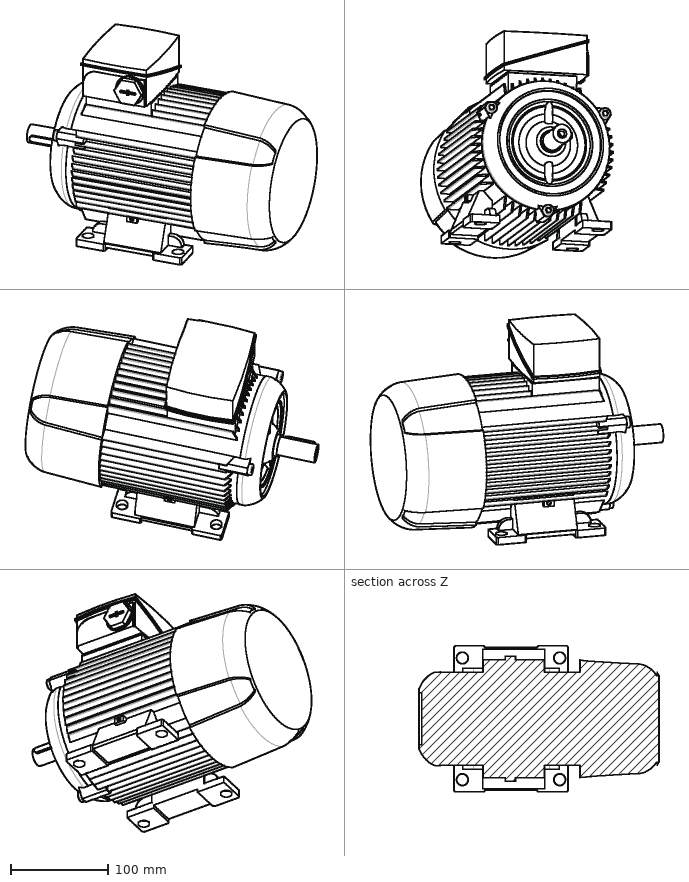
import cadquery as cq
import math


shaft_radius = 9.5
shaft_collar_radius = 11.5
shaft_length = 39.5
key_width = 6.0
key_start = 3.8
key_end = 36.0
key_reach = 12.0
centre_hole_radius = 3.0
centre_hole_depth = 14.5
centre_hole_chamfer = 1.8

hub_front = 43.0
hub_front_radius = 15.5
hub_base_radius = 23.7
bell_front = 45.3
bell_front_radius = 56.5
bell_lip_radius = 54.0
bell_recess = 48.2
bell_rim = 62.0
bell_step = 49.0
bell_step_radius = 45.5
outer_dish_radius = 43.2
dish_ledge = 50.8
dish_ledge_radius = 39.7
inner_dish_radius = 38.3
bell_floor = 54.3
bell_floor_radius = 31.2
bell_rib_radius = 4.0

housing_radius = 67.2
housing_start = 67.2
rim_step = 0.3
fin_tip_radius = 75.5
edge_fin_tip_radius = 76.8
fin_pitch = 8.03
fin_count_each_side = 5
fin_thickness = 1.8
fin_tip_round = 0.5
fin_start = 73.3
fin_slant = 5.0
fin_root_overlap = 3.0

cowl_start = 210.5
cowl_shoulder = 271.9
motor_end = 292.0
cowl_front_radius = 79.28
cowl_shoulder_radius = 76.2
cowl_end_radius = 64.5
cowl_arc_bulge = 1.8
cowl_recess_depth = 2.5
cowl_recess_end = 290.0
cowl_recess_edge = 41.8

lug_side = 21.0
lug_circle_radius = 69.8
lug_start = 56.5
lug_end = 86.0
lug_angles = (30, 150, 270)
lug_inner_radius = lug_side / (2 * math.sqrt(3))
screw_head_radius = 5.8
screw_head_height = 4.5
screw_head_round = 1.5
screw_socket_size = 5.8
screw_socket_depth = 2.3

box_min_x = 78.0
box_max_x = 148.5
box_min_y = -48.0
box_max_y = 40.5
box_bottom = 79.7
box_top = 121.0
box_bulge = 1.9
seam_reach = 1.5
seam_thickness = 2.0
seam_low_z = 84.7
seam_high_z = 113.5
pedestal_min_x = 76.8
pedestal_max_x = 149.0
pedestal_half_width = 36.2
pedestal_top = 77.5
pedestal_bottom = 43.8
neck_inset = 1.2
panel_reach = 50.0
panel_min_x = 79.5
panel_max_x = 147.2
panel_top = 109.8
panel_corner_radius = 14.5

plug_x = 131.7
plug_z = 96.5
plug_flange_radius = 15.5
plug_flange_face = 51.7
plug_hex_flats = 26.3
plug_face = 57.5
plug_slot_length = 17.0
plug_slot_width = 2.0
plug_cross_length = 5.3
plug_slot_depth = 1.2

axis_height = 80.0
pad_thickness = 8.0
pad_inner_y = 44.0
pad_outer_y = 75.0
pad_length = 32.0
pad_corner_cut = 1.5
foot_min_x = 81.2
foot_max_x = 198.5
foot_bar_outer_y = 73.3
foot_bar_lift = 3.5
web_min_x = 111.0
web_max_x = 174.3
web_foot_y = 71.5
web_top_y = 56.6
web_top_z = -37.7
foot_hole_radius = 5.8
foot_hole_y = 62.5
foot_hole_end_margin = 8.8
front_gusset_length = 20.5
rear_gusset_length = 15.2
gusset_height = 10.8
gusset_round = 10.5
gusset_min_y = 45.5
gusset_max_y = 52.0

earth_min_x = 133.7
earth_max_x = 144.5
earth_reach = 64.2
earth_root = 52.5
earth_top = -40.0
earth_bottom = -47.0
earth_hole_radius = 2.0
earth_hole_depth = 1.8


def box_between(x0, x1, y0, y1, z0, z1):
    """Axis-aligned block given by its limits."""
    return cq.Workplane("XY").box(x1 - x0, y1 - y0, z1 - z0, centered=False).translate((x0, y0, z0))


def cylinder_x(radius, x0, x1):
    """Cylinder on the motor axis."""
    return cq.Workplane("YZ").workplane(offset=x0).circle(radius).extrude(x1 - x0)


def facing_minus_y(x, y, z):
    """Work plane parallel to XZ that extrudes toward -Y."""
    return cq.Workplane("XZ", origin=(x, y, z))


def revolve_on_axis(profile):
    """Revolve a closed (X, radius) profile around the motor axis."""
    return profile.close().revolve(360, (0, 0, 0), (1, 0, 0))


def make_shaft():
    shaft = cylinder_x(shaft_radius, 0, bell_floor)
    shaft = shaft.union(cylinder_x(shaft_collar_radius, shaft_length, bell_floor))
    hole = (
        cq.Workplane("XY")
        .lineTo(0, centre_hole_radius + centre_hole_chamfer)
        .lineTo(centre_hole_chamfer, centre_hole_radius)
        .lineTo(centre_hole_depth, centre_hole_radius)
        .lineTo(centre_hole_depth, 0)
    )
    shaft = shaft.cut(revolve_on_axis(hole))
    key = (
        facing_minus_y((key_start + key_end) / 2, 0, 0)
        .workplane(offset=shaft_radius / 2)
        .slot2D(key_end - key_start, key_width)
        .extrude(key_reach - shaft_radius / 2)
    )
    return shaft.union(key)


def make_bell():
    """Drive-end bell: rounded shoulder, stepped and dished recess, central hub and two ribs."""
    shoulder_mid = ((bell_front + bell_rim) / 2 - 1.2, (bell_front_radius + housing_radius) / 2 + 1.5)
    profile = (
        cq.Workplane("XY")
        .moveTo(hub_front, 0)
        .lineTo(hub_front, hub_front_radius)
        .lineTo(bell_floor, hub_base_radius)
        .lineTo(bell_floor, bell_floor_radius)
        .lineTo(dish_ledge, inner_dish_radius)
        .lineTo(dish_ledge, dish_ledge_radius)
        .lineTo(bell_step, outer_dish_radius)
        .lineTo(bell_step, bell_step_radius)
        .lineTo(bell_recess, bell_step_radius)
        .lineTo(bell_recess, bell_lip_radius)
        .lineTo(bell_front, bell_lip_radius)
        .lineTo(bell_front, bell_front_radius)
        .threePointArc(shoulder_mid, (bell_rim, housing_radius + rim_step))
        .lineTo(housing_start, housing_radius + rim_step)
        .lineTo(housing_start, 0)
    )
    bell = revolve_on_axis(profile)
    ribs = (
        cq.Workplane("XY", origin=(bell_step + bell_rib_radius, 0, 0))
        .circle(bell_rib_radius)
        .extrude(bell_step_radius, both=True)
    )
    return bell.union(ribs)


def make_fin(step):
    """Upright fin, step pitches from the centre fin, with a slanted front and a rounded tip."""
    offset = step * fin_pitch
    tip_radius = edge_fin_tip_radius if abs(step) == fin_count_each_side else fin_tip_radius
    root = math.sqrt(housing_radius**2 - offset**2)
    tip = math.sqrt(tip_radius**2 - offset**2)
    outline = [
        (fin_start, root - fin_root_overlap),
        (fin_start, root),
        (fin_start + fin_slant, tip),
        (cowl_start, tip),
        (cowl_start, root - fin_root_overlap),
    ]
    fin = cq.Workplane("XZ").polyline(outline).close().extrude(fin_thickness / 2, both=True)
    fin = fin.faces(">Z").edges("|X").fillet(fin_tip_round)
    return fin.translate((0, offset, 0))


def make_housing():
    """Round housing with a group of parallel fins on each of its four sides."""
    housing = cylinder_x(housing_radius, housing_start, cowl_start)
    for step in range(-fin_count_each_side, fin_count_each_side + 1):
        fin = make_fin(step)
        for quadrant in range(4):
            housing = housing.union(fin.rotate((0, 0, 0), (1, 0, 0), 90 * quadrant))
    return housing


def cowl_body(inset, end_x):
    """Fan cowl solid, its skin moved inward by inset and its rear face at end_x."""
    end_radius = cowl_end_radius - inset
    shoulder_radius = cowl_shoulder_radius - inset
    arc_mid = (
        (cowl_shoulder + end_x) / 2 + cowl_arc_bulge,
        (shoulder_radius + end_radius) / 2 + cowl_arc_bulge,
    )
    profile = (
        cq.Workplane("XY")
        .moveTo(cowl_start, 0)
        .lineTo(cowl_start, cowl_front_radius - inset)
        .lineTo(cowl_shoulder, shoulder_radius)
        .threePointArc(arc_mid, (end_x, end_radius))
        .lineTo(end_x, 0)
    )
    return revolve_on_axis(profile)


def make_cowl():
    """Fan cowl with a shallow recess in each of its four diagonal corners."""
    inner = cowl_body(cowl_recess_depth, motor_end)
    corners = None
    for quadrant in range(4):
        corner = box_between(
            cowl_start, cowl_recess_end,
            cowl_recess_edge, cowl_front_radius,
            cowl_recess_edge, cowl_front_radius,
        ).rotate((0, 0, 0), (1, 0, 0), 90 * quadrant)
        corners = corner if corners is None else corners.union(corner)
    return cowl_body(0, motor_end).cut(corners.cut(inner))


def make_lug():
    """Triangular lug above the axis with a rounded tip and a socket-head screw."""
    base_z = lug_circle_radius - lug_inner_radius
    apex_z = lug_circle_radius + 2 * lug_inner_radius
    triangle = [(-lug_side / 2, base_z), (lug_side / 2, base_z), (0, apex_z)]
    front = cq.Workplane("YZ").workplane(offset=lug_start)
    lug = front.polyline(triangle).close().extrude(lug_end - lug_start)
    lug = lug.intersect(cylinder_x(lug_circle_radius + lug_inner_radius, lug_start, lug_end))
    head = (
        cq.Workplane("YZ", origin=(lug_start - screw_head_height, 0, lug_circle_radius))
        .circle(screw_head_radius)
        .extrude(screw_head_height)
        .faces("<X").edges().fillet(screw_head_round)
    )
    socket = (
        cq.Workplane("YZ", origin=(lug_start - screw_head_height, 0, lug_circle_radius))
        .polygon(6, screw_socket_size)
        .extrude(screw_socket_depth)
    )
    return lug.union(head.cut(socket))


def box_plan(reach):
    """Plan of the terminal box with four slightly bulged sides, grown by reach."""
    x0 = box_min_x - reach
    x1 = box_max_x + reach
    y0 = box_min_y - reach
    y1 = box_max_y + reach
    mid_x = (x0 + x1) / 2
    mid_y = (y0 + y1) / 2
    return (
        cq.Workplane("XY", origin=(0, 0, box_bottom))
        .moveTo(x0, y0)
        .threePointArc((mid_x, y0 - box_bulge), (x1, y0))
        .threePointArc((x1 + box_bulge, mid_y), (x1, y1))
        .threePointArc((mid_x, y1 + box_bulge), (x0, y1))
        .threePointArc((x0 - box_bulge, mid_y), (x0, y0))
        .close()
    )


def make_terminal_box():
    height = box_top - box_bottom
    box = box_plan(0).extrude(height)
    slope = (seam_high_z - seam_low_z) / (box_max_y - box_min_y)
    overhang = box_bulge + 2 * seam_reach
    y0 = box_min_y - overhang
    y1 = box_max_y + overhang
    z0 = seam_high_z + slope * overhang
    z1 = seam_low_z - slope * overhang
    slab = (
        cq.Workplane("YZ")
        .polyline([(y0, z0), (y1, z1), (y1, z1 + seam_thickness), (y0, z0 + seam_thickness)])
        .close()
        .extrude(motor_end)
    )
    box = box.union(box_plan(seam_reach).extrude(height).intersect(slab))

    pedestal = box_between(
        pedestal_min_x, pedestal_max_x,
        -pedestal_half_width, pedestal_half_width,
        pedestal_bottom, pedestal_top,
    )
    neck = box_between(
        pedestal_min_x + neck_inset, pedestal_max_x - neck_inset,
        neck_inset - pedestal_half_width, pedestal_half_width - neck_inset,
        pedestal_top, box_bottom,
    )
    panel = box_between(
        panel_min_x, panel_max_x, -panel_reach, box_min_y, box_bottom, panel_top
    ).edges("|Y and <X and >Z").fillet(panel_corner_radius)
    return box.union(pedestal).union(neck).union(panel)


def make_plug():
    """Hexagonal cable-entry plug with a round flange and a screwdriver cross."""
    flange = (
        facing_minus_y(plug_x, box_min_y, plug_z)
        .circle(plug_flange_radius)
        .extrude(plug_flange_face + box_min_y)
    )
    hexagon = (
        facing_minus_y(plug_x, box_min_y, plug_z)
        .polygon(6, plug_hex_flats / math.cos(math.pi / 6))
        .extrude(plug_face + box_min_y)
    )
    face = facing_minus_y(plug_x, plug_slot_depth - plug_face, plug_z)
    slot = face.slot2D(plug_slot_length, plug_slot_width).extrude(plug_slot_depth)
    cross = face.rect(plug_slot_width, plug_cross_length).extrude(plug_slot_depth)
    return flange.union(hexagon).cut(slot).cut(cross)


def make_foot():
    """Foot on the -Y side: two pads, the bar between, a sloped web, gussets and an earth terminal."""
    pad_top = pad_thickness - axis_height
    foot = box_between(
        foot_min_x, foot_max_x, -foot_bar_outer_y, -pad_inner_y, foot_bar_lift - axis_height, pad_top
    )
    for pad_x in (foot_min_x, foot_max_x - pad_length):
        pad = box_between(pad_x, pad_x + pad_length, -pad_outer_y, -pad_inner_y, -axis_height, pad_top)
        foot = foot.union(pad.edges("|Z and <Y").chamfer(pad_corner_cut))
    web_outline = [
        (-pad_inner_y, pad_top),
        (-web_foot_y, pad_top),
        (-web_top_y, web_top_z),
        (-pad_inner_y, web_top_z),
    ]
    web = (
        cq.Workplane("YZ", origin=(web_min_x, 0, 0))
        .polyline(web_outline)
        .close()
        .extrude(web_max_x - web_min_x)
    )
    foot = foot.union(web)

    gussets = box_between(
        web_min_x - front_gusset_length, web_max_x + rear_gusset_length,
        -gusset_max_y, -gusset_min_y,
        pad_top, pad_top + gusset_height,
    ).edges("|Y and >Z").fillet(gusset_round)
    foot = foot.union(gussets)

    for hole_x in (foot_min_x + foot_hole_end_margin, foot_max_x - foot_hole_end_margin):
        hole = cq.Workplane("XY", origin=(hole_x, -foot_hole_y, -axis_height))
        foot = foot.cut(hole.circle(foot_hole_radius).extrude(pad_thickness))

    earth = box_between(earth_min_x, earth_max_x, -earth_reach, -earth_root, earth_bottom, earth_top)
    earth_hole = (
        facing_minus_y((earth_min_x + earth_max_x) / 2, earth_hole_depth - earth_reach,
                       (earth_bottom + earth_top) / 2)
        .circle(earth_hole_radius)
        .extrude(earth_hole_depth)
    )
    return foot.union(earth.cut(earth_hole))


result = make_housing().union(make_bell()).union(make_shaft()).union(make_cowl())
lug = make_lug()
for angle in lug_angles:
    result = result.union(lug.rotate((0, 0, 0), (1, 0, 0), angle - 90))
result = result.union(make_terminal_box()).union(make_plug())
foot = make_foot()
result = result.union(foot).union(foot.mirror("XZ"))